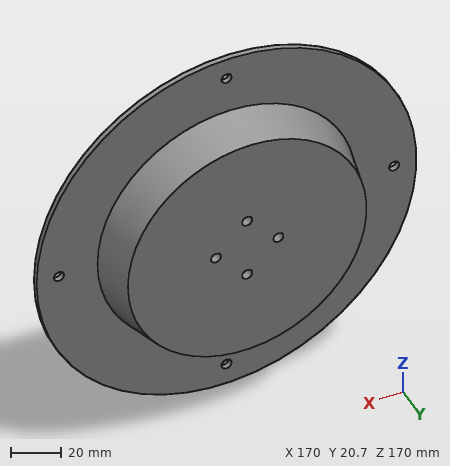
import cadquery as cq

disc_diameter = 170.0
disc_thickness = 2.5

total_depth = 20.7
hub_base_diameter = 115.6
hub_end_diameter = 106.8

hole_diameter = 4.5
hole_count = 4
inner_ring_radius = 14.0
outer_ring_radius = 75.0


def disc_with_hub():
    """Revolve the half section (radius, depth) about the Y axis."""
    return (
        cq.Workplane("XY")
        .moveTo(0, 0)
        .lineTo(disc_diameter / 2, 0)
        .lineTo(disc_diameter / 2, disc_thickness)
        .lineTo(hub_base_diameter / 2, disc_thickness)
        .lineTo(hub_end_diameter / 2, total_depth)
        .lineTo(0, total_depth)
        .close()
        .revolve(360, (0, 0, 0), (0, 1, 0))
    )


def hole_ring(ring_radius):
    """Cutters on the X and Z axes, running through the full depth."""
    return (
        cq.Workplane("XZ")
        .polarArray(ring_radius, 0, 360, hole_count)
        .circle(hole_diameter / 2)
        .extrude(-total_depth)
    )


result = disc_with_hub()
for radius in (inner_ring_radius, outer_ring_radius):
    result = result.cut(hole_ring(radius))